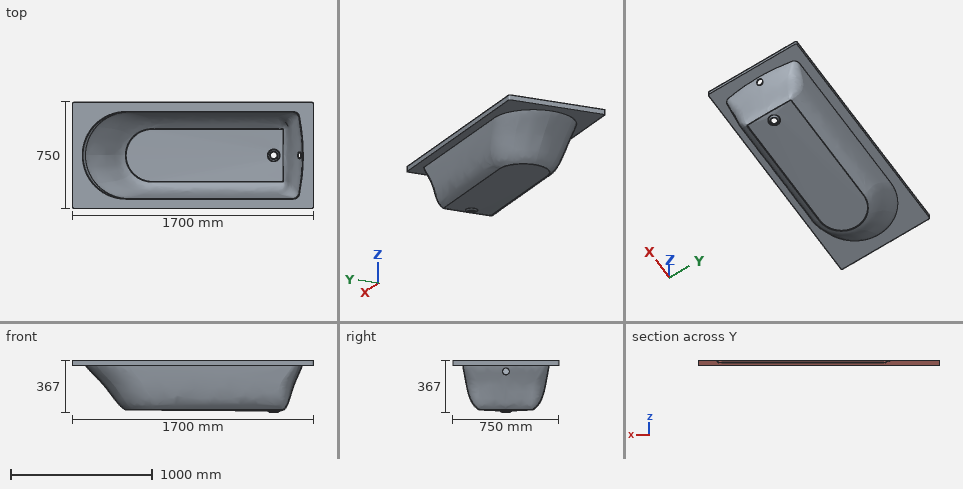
import cadquery as cq
import math

RIM_LENGTH = 1700.0
RIM_WIDTH = 750.0
RIM_THICKNESS = 37.0
RIM_CORNER_RADIUS = 12.0

TOTAL_HEIGHT = 367.0
WALL = 5.0
FLOOR_DEPTH = 345.0
FLOOR_FALL = 7.0
HEAD_ARC_SPLIT = math.radians(42)

TUB_SECTIONS = [
    (0.0, -775.0, 774.0, 305.0, 42.0, 25.0),
    (124.0, -670.0, 728.0, 284.0, 68.0, 17.0),
    (248.0, -565.0, 683.0, 255.0, 68.0, 8.0),
    (313.0, -512.0, 660.0, 221.0, 34.0, 3.0),
    (FLOOR_DEPTH, -471.0, 635.0, 184.0, 5.0, 2.0),
]

DRAIN_ARC_ANGLES = [-130, -40, -35, 0, 35, 40, 130, 155, 180, 205, 230]
DRAIN_X = 570.0
DRAIN_BOWL_RADIUS = 39.0
DRAIN_HOLE_RADIUS = 24.0
OVERFLOW_DEPTH = 78.0
OVERFLOW_RADIUS = 24.0
OVERFLOW_CUT_START = 595.0


def tub_outline(depth, head_x, foot_x, half_width, corner, bulge, offset):
    """Closed outline with a round head end and a slightly bowed foot end."""
    radius = half_width + offset
    arc_center_x = head_x + half_width
    end_x = foot_x + offset
    side_end_x = end_x - bulge
    corner_radius = corner + offset
    corner_x = side_end_x - corner_radius
    corner_y = radius - corner_radius
    mid_reach = corner_radius * math.sqrt(0.5)

    def head_point(angle):
        return (arc_center_x - radius * math.cos(angle), radius * math.sin(angle))

    outline = cq.Workplane("XY", origin=(0, 0, -depth)).moveTo(arc_center_x, -radius)
    outline = outline.lineTo(corner_x, -radius)
    outline = outline.threePointArc(
        (corner_x + mid_reach, -corner_y - mid_reach), (side_end_x, -corner_y)
    )
    bow_radius = (corner_y**2 + bulge**2) / (2 * bulge)
    quarter_y = corner_y / 2
    quarter_x = end_x - bow_radius + math.sqrt(bow_radius**2 - quarter_y**2)
    outline = outline.threePointArc((quarter_x, -quarter_y), (end_x, 0))
    outline = outline.threePointArc((quarter_x, quarter_y), (side_end_x, corner_y))
    outline = outline.threePointArc(
        (corner_x + mid_reach, corner_y + mid_reach), (corner_x, radius)
    )
    outline = outline.lineTo(arc_center_x, radius)
    head_angles = [math.pi / 2, HEAD_ARC_SPLIT, 0, -HEAD_ARC_SPLIT, -math.pi / 2]
    for start, end in zip(head_angles, head_angles[1:]):
        outline = outline.threePointArc(head_point((start + end) / 2), head_point(end))
    return outline.wire().val()


def drain_outline(depth, offset):
    """Drain circle divided into arcs that aim at the corners of the floor outline."""
    radius = DRAIN_BOWL_RADIUS + offset
    angles = [math.radians(angle) for angle in DRAIN_ARC_ANGLES]

    def drain_point(angle):
        return (DRAIN_X + radius * math.cos(angle), radius * math.sin(angle))

    outline = cq.Workplane("XY", origin=(0, 0, -depth)).moveTo(*drain_point(angles[0]))
    for start, end in zip(angles, angles[1:]):
        outline = outline.threePointArc(drain_point((start + end) / 2), drain_point(end))
    return outline.wire().val()


def drain_cone(top_radius, bottom_radius, top_depth, bottom_depth):
    return cq.Workplane(
        cq.Solid.makeCone(
            top_radius,
            bottom_radius,
            bottom_depth - top_depth,
            cq.Vector(DRAIN_X, 0, -top_depth),
            cq.Vector(0, 0, -1),
        )
    )


def tub_form(offset):
    """Solid form of the tub; offset moves its surface outward and its floor down."""
    outlines = []
    for depth, *shape in TUB_SECTIONS:
        section_depth = depth + offset * depth / FLOOR_DEPTH
        outlines.append(tub_outline(section_depth, *shape, offset))
    walls = cq.Workplane(cq.Solid.makeLoft(outlines))
    drain_depth = FLOOR_DEPTH + FLOOR_FALL + offset
    floor = cq.Workplane(cq.Solid.makeLoft([outlines[-1], drain_outline(drain_depth, offset)], True))
    bowl_bottom = TOTAL_HEIGHT - WALL + offset
    bowl = drain_cone(DRAIN_BOWL_RADIUS + offset, DRAIN_HOLE_RADIUS + offset, drain_depth, bowl_bottom)
    return walls.union(floor).union(bowl)


def make_tub(outer_form):
    drain_hole = (
        cq.Workplane("XY", origin=(DRAIN_X, 0, -TOTAL_HEIGHT))
        .circle(DRAIN_HOLE_RADIUS)
        .extrude(TOTAL_HEIGHT - FLOOR_DEPTH)
    )
    overflow_hole = (
        cq.Workplane("YZ", origin=(OVERFLOW_CUT_START, 0, -OVERFLOW_DEPTH))
        .circle(OVERFLOW_RADIUS)
        .extrude(RIM_LENGTH / 2 - OVERFLOW_CUT_START)
    )
    return outer_form.cut(tub_form(0)).cut(drain_hole).cut(overflow_hole)


def make_rim(outer_form):
    """Flat slab whose opening fits around the tub."""
    slab = (
        cq.Workplane("XY")
        .rect(RIM_LENGTH, RIM_WIDTH)
        .extrude(-RIM_THICKNESS)
        .edges("|Z")
        .fillet(RIM_CORNER_RADIUS)
    )
    return slab.cut(outer_form)


tub_outer = tub_form(WALL)
tub = make_tub(tub_outer)
rim = make_rim(tub_outer)

result = cq.Compound.makeCompound([tub.solids().val(), rim.solids().val()])